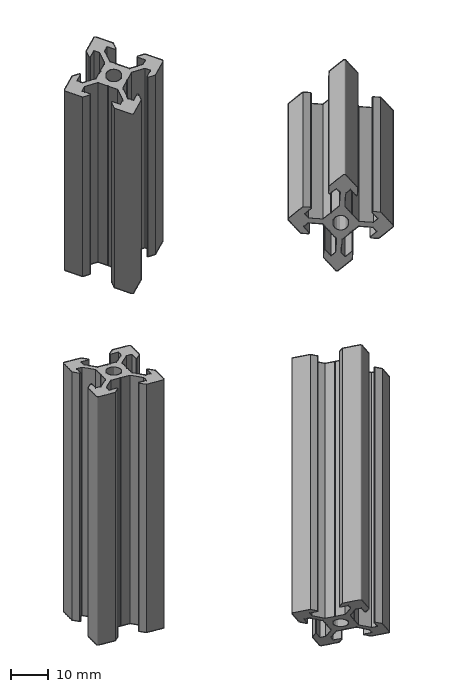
import cadquery as cq
import math

length = 76.2
side = 20.0
corner_radius = 0.5

mouth_width = 9.15
throat_width = 6.25
lip_thickness = 1.8
cavity_width = 11.05

core_width = 7.8
web_thickness = 1.45
bore_diameter = 4.2

groove_width = 0.3
groove_depth = 0.15

face = side / 2
core_face = core_width / 2
lip_inner = face - lip_thickness
mouth_half = mouth_width / 2
throat_half = throat_width / 2
cavity_half = cavity_width / 2
throat_start = face - (mouth_half - throat_half)
web_offset = web_thickness / 2 * math.sqrt(2)
floor_half = core_face - web_offset


def make_slot():
    """Solid to remove for the slot on the +Y side."""
    right_side = [
        (groove_width / 2, core_face),
        (floor_half, core_face),
        (cavity_half, cavity_half + web_offset),
        (cavity_half, lip_inner),
        (throat_half, lip_inner),
        (throat_half, throat_start),
        (mouth_half, face),
    ]
    left_side = [(-x, y) for x, y in reversed(right_side)]
    groove_bottom = (0, core_face - groove_depth)
    outline = [groove_bottom] + right_side + left_side
    return cq.Workplane("XY").polyline(outline).close().extrude(length)


bar = cq.Workplane("XY").rect(side, side).extrude(length)
bar = bar.edges("|Z").fillet(corner_radius)

slot = make_slot()
for angle in (0, 90, 180, 270):
    bar = bar.cut(slot.rotate((0, 0, 0), (0, 0, 1), angle))

bore = cq.Workplane("XY").circle(bore_diameter / 2).extrude(length)
result = bar.cut(bore)